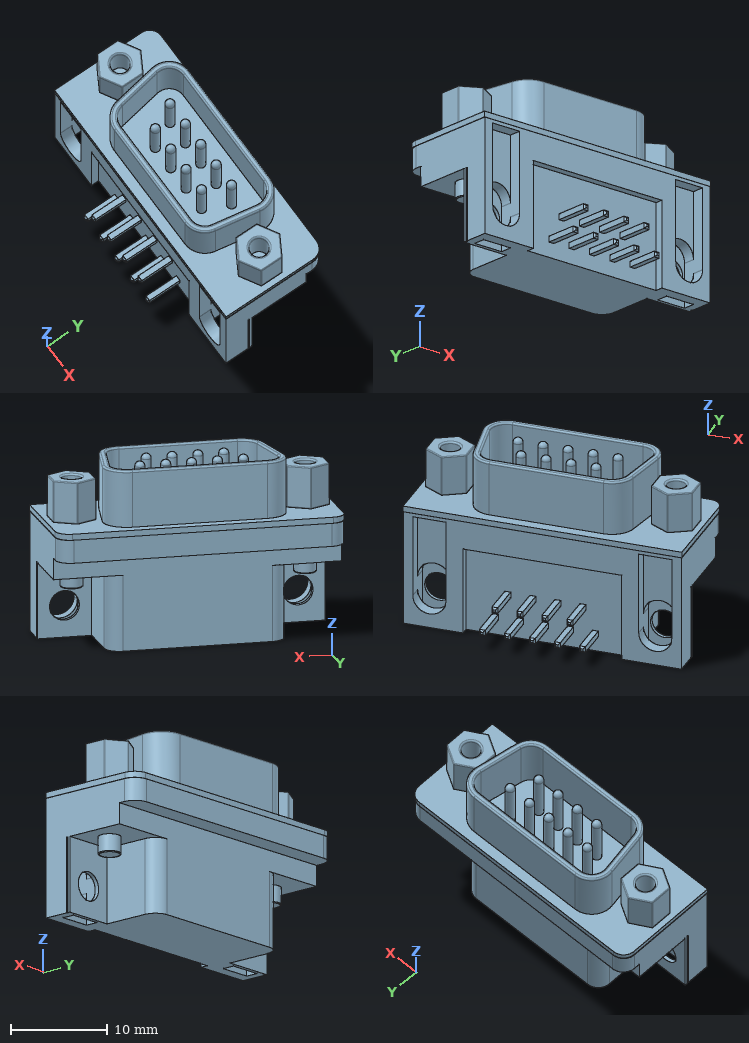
import cadquery as cq
import math


SHELL_WIDTH = 30.89
FLANGE_DEPTH = 12.57
PLATE_THICKNESS = 0.65
PLATE_CORNER_RADIUS = 1.5
D_DEPTH = 10.16
D_MEAN_WIDTH = 18.72
D_SIDE_ANGLE = 10
D_CORNER_RADIUS = 2.55
D_HEIGHT = 6.07
D_WALL = 0.77
RIM_FILLET = 0.2

HOUSING_WIDTH = 30.81
HOUSING_HEIGHT = 12.96
FLANGE_UNDERSIDE = 10.48
SHOULDER_UNDERSIDE = 8.2
BODY_DEPTH = 10.25
EAR_THICKNESS = 3.34
CORE_WIDTH = 19.2
CORNER_RADIUS = 1.6
FRONT_RECESS_WIDTH = 17.54
FRONT_RECESS_HEIGHT = 9.78
FRONT_RECESS_DEPTH = 0.92
GROOVE_WIDTH = 0.12
GROOVE_DEPTH = 0.1

SLOT_WIDTH = 3.66
SLOT_TOP = 12.56
SLOT_DEPTH = 1.45
POCKET_DEPTH = 2.87
POCKET_TOP = 6.82
MOUNT_HOLE_DIAMETER = 3.16
MOUNT_HOLE_Z = 3.43

PIN_PITCH = 2.77
ROW_SPACING = 2.84
LONG_ROW = 5
SHORT_ROW = 4
PIN_DIAMETER = 1.06
PIN_HEIGHT = 6.04
TAIL_SIZE = 0.65
TAIL_REACH = 3.15
TAIL_CHAMFER = 0.2
LOWER_TAIL_Z = 2.03

SCREW_SPACING = 25.0
HEX_FLATS = 4.56
HEX_HEIGHT = 4.48
HEX_FILLET = 0.1
THREAD_DIAMETER = 2.1
THREAD_DEPTH = 4.0
THREAD_FILLET = 0.2
SHANK_DIAMETER = 2.4
SHANK_END_Z = 6.28
SHANK_CHAMFER = 0.1

FRONT_Y = -FLANGE_DEPTH / 2
REAR_Y = FLANGE_DEPTH / 2
PLATE_TOP = HOUSING_HEIGHT + PLATE_THICKNESS
SCREW_XS = (-SCREW_SPACING / 2, SCREW_SPACING / 2)


def block(width, y_min, y_max, z_min, z_max):
    """Box centred on X = 0."""
    return (
        cq.Workplane("XY")
        .box(width, y_max - y_min, z_max - z_min, centered=(True, False, False))
        .translate((0, y_min, z_min))
    )


def d_prism(inset, z_min, z_max):
    """Rounded trapezoid, wide side to the rear, shrunk inwards by the inset."""
    slope = math.tan(math.radians(D_SIDE_ANGLE))
    half_depth = D_DEPTH / 2 - inset
    mean_half_width = D_MEAN_WIDTH / 2 - inset / math.cos(math.radians(D_SIDE_ANGLE))
    rear_half = mean_half_width + half_depth * slope
    front_half = mean_half_width - half_depth * slope
    return (
        cq.Workplane("XY", origin=(0, 0, z_min))
        .polyline([
            (-rear_half, half_depth),
            (rear_half, half_depth),
            (front_half, -half_depth),
            (-front_half, -half_depth),
        ])
        .close()
        .extrude(z_max - z_min)
        .edges("|Z")
        .fillet(D_CORNER_RADIUS - inset)
    )


def upright_cylinder(diameter, x, z_min, z_max):
    """Cylinder along Z on the jackscrew line Y = 0."""
    return (
        cq.Workplane("XY", origin=(x, 0, z_min))
        .circle(diameter / 2)
        .extrude(z_max - z_min)
    )


def front_slot(x):
    """Shallow slot in the front face, with a square top and a round bottom."""
    radius = SLOT_WIDTH / 2
    return (
        cq.Workplane("XZ", origin=(x, FRONT_Y, 0))
        .moveTo(-radius, SLOT_TOP)
        .lineTo(-radius, MOUNT_HOLE_Z)
        .threePointArc((0, MOUNT_HOLE_Z - radius), (radius, MOUNT_HOLE_Z))
        .lineTo(radius, SLOT_TOP)
        .close()
        .extrude(-SLOT_DEPTH)
    )


def lock_pocket(x):
    """Arched pocket behind the slot, open at the underside of the ear."""
    radius = SLOT_WIDTH / 2
    arch_start = POCKET_TOP - radius
    return (
        cq.Workplane("XZ", origin=(x, FRONT_Y + SLOT_DEPTH, 0))
        .moveTo(-radius, 0)
        .lineTo(radius, 0)
        .lineTo(radius, arch_start)
        .threePointArc((0, POCKET_TOP), (-radius, arch_start))
        .close()
        .extrude(SLOT_DEPTH - POCKET_DEPTH)
    )


def make_housing_block():
    """Stepped moulding: rear flange, shoulder, central core and two thin ears."""
    flange = (
        block(HOUSING_WIDTH, FRONT_Y, REAR_Y, FLANGE_UNDERSIDE, HOUSING_HEIGHT)
        .edges("|Z and >Y")
        .fillet(CORNER_RADIUS)
    )
    body_rear = FRONT_Y + BODY_DEPTH
    shoulder = block(HOUSING_WIDTH, FRONT_Y, body_rear, SHOULDER_UNDERSIDE, FLANGE_UNDERSIDE)
    ears = block(HOUSING_WIDTH, FRONT_Y, FRONT_Y + EAR_THICKNESS, 0, SHOULDER_UNDERSIDE)
    core = (
        block(CORE_WIDTH, FRONT_Y, body_rear, 0, SHOULDER_UNDERSIDE)
        .edges("|Z and >Y")
        .fillet(CORNER_RADIUS)
    )
    insulator_face = d_prism(D_WALL, HOUSING_HEIGHT, PLATE_TOP)
    return flange.union(shoulder).union(ears).union(core).union(insulator_face)


def cut_housing_features(body):
    """Front recess, ear slots and pockets, mounting holes, jackscrew holes and side grooves."""
    body = body.cut(
        block(FRONT_RECESS_WIDTH, FRONT_Y, FRONT_Y + FRONT_RECESS_DEPTH, 0, FRONT_RECESS_HEIGHT)
    )
    for x in SCREW_XS:
        mount_hole = (
            cq.Workplane("XZ", origin=(x, FRONT_Y, MOUNT_HOLE_Z))
            .circle(MOUNT_HOLE_DIAMETER / 2)
            .extrude(-EAR_THICKNESS)
        )
        body = (
            body.cut(front_slot(x))
            .cut(lock_pocket(x))
            .cut(mount_hole)
            .cut(upright_cylinder(SHANK_DIAMETER, x, SHOULDER_UNDERSIDE, HOUSING_HEIGHT))
        )
    groove_front = FRONT_Y + POCKET_DEPTH
    groove_rear = groove_front + GROOVE_WIDTH
    groove_ring = block(HOUSING_WIDTH, groove_front, groove_rear, 0, SHOULDER_UNDERSIDE).cut(
        block(HOUSING_WIDTH - 2 * GROOVE_DEPTH, groove_front, groove_rear, 0, SHOULDER_UNDERSIDE)
    )
    return body.cut(groove_ring)


def row_xs(count):
    """Evenly pitched X places centred on X = 0."""
    return [(i - (count - 1) / 2) * PIN_PITCH for i in range(count)]


def make_contact(x, y):
    """Round contact with a domed tip, standing on the insulator face."""
    radius = PIN_DIAMETER / 2
    return (
        cq.Workplane("XY", origin=(x, y, PLATE_TOP))
        .circle(radius)
        .extrude(PIN_HEIGHT - radius)
        .union(cq.Workplane("XY", origin=(x, y, PLATE_TOP + PIN_HEIGHT - radius)).sphere(radius))
    )


def make_tail(x, z):
    """Square solder tail with a chamfered end, leaving the front recess."""
    return (
        cq.Workplane("XZ", origin=(x, FRONT_Y + FRONT_RECESS_DEPTH, z))
        .rect(TAIL_SIZE, TAIL_SIZE)
        .extrude(FRONT_RECESS_DEPTH + TAIL_REACH)
        .faces("<Y")
        .chamfer(TAIL_CHAMFER)
    )


def make_housing():
    """Moulding with its two rows of pins; the rear row has the lower tails."""
    body = cut_housing_features(make_housing_block())
    rows = (
        (LONG_ROW, ROW_SPACING / 2, LOWER_TAIL_Z),
        (SHORT_ROW, -ROW_SPACING / 2, LOWER_TAIL_Z + ROW_SPACING),
    )
    for count, contact_y, tail_z in rows:
        for x in row_xs(count):
            body = body.union(make_contact(x, contact_y)).union(make_tail(x, tail_z))
    return body


def make_shell():
    """Flat plate with the D-shaped skirt, open through the middle."""
    plate = (
        block(SHELL_WIDTH, FRONT_Y, REAR_Y, HOUSING_HEIGHT, PLATE_TOP)
        .edges("|Z and >Y")
        .fillet(PLATE_CORNER_RADIUS)
    )
    skirt_top = PLATE_TOP + D_HEIGHT
    shell = (
        plate.union(d_prism(0, HOUSING_HEIGHT, skirt_top))
        .cut(d_prism(D_WALL, HOUSING_HEIGHT, skirt_top))
        .faces(">Z")
        .edges()
        .fillet(RIM_FILLET)
    )
    for x in SCREW_XS:
        shell = shell.cut(upright_cylinder(SHANK_DIAMETER, x, HOUSING_HEIGHT, PLATE_TOP))
    return shell


def make_jackscrew(x):
    """Hexagonal standoff with a blind threaded hole on top and a shank below."""
    hex_top = PLATE_TOP + HEX_HEIGHT
    across_corners = HEX_FLATS / math.cos(math.pi / 6)
    head = (
        cq.Workplane("XY")
        .polygon(6, across_corners)
        .extrude(HEX_HEIGHT)
        .edges()
        .fillet(HEX_FILLET)
        .rotate((0, 0, 0), (0, 0, 1), 30)
        .translate((x, 0, PLATE_TOP))
    )
    head = (
        head.cut(upright_cylinder(THREAD_DIAMETER, x, hex_top - THREAD_DEPTH, hex_top))
        .faces(">Z")
        .edges("%CIRCLE")
        .fillet(THREAD_FILLET)
    )
    shank = (
        upright_cylinder(SHANK_DIAMETER, x, SHANK_END_Z, PLATE_TOP)
        .faces("<Z")
        .chamfer(SHANK_CHAMFER)
    )
    return head.union(shank)


housing = make_housing()
shell = make_shell()
jackscrews = [make_jackscrew(x) for x in SCREW_XS]

result = cq.Compound.makeCompound(
    [housing.val(), shell.val(), *[screw.val() for screw in jackscrews]]
)